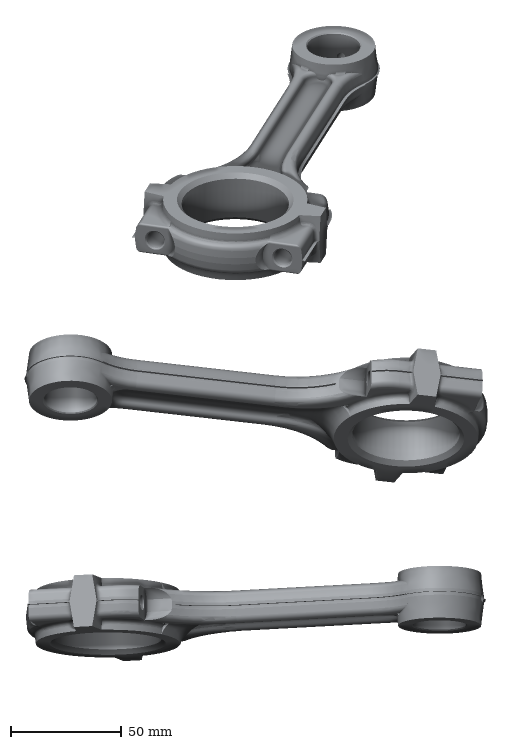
import cadquery as cq
import math


FULL_WIDTH = 83.42
FULL_LENGTH = 213.82
FACE_Z = 23.98 / 2
FORGED_Z = 7.45
BAND_Z = 1.6
DRAFT = 7.0
DRAFT_SLOPE = math.tan(math.radians(DRAFT))
EDGE_RADIUS = 2.9
BIG = 100.0

CAP_RADIUS = 37.1
BIG_BORE_RADIUS = 24.4
BIG_CHAMFER = 2.1
RING_FACE_RADIUS = 32.8
RING_ROOT_RADIUS = RING_FACE_RADIUS + (FACE_Z - FORGED_Z) * DRAFT_SLOPE
RING_ROOT_FILLET = 2.0
CAP_ROOT_FILLET = 0.9
CAP_ROOT_HALF_WIDTH = 23.6
APRON_HALF_WIDTH = 14.5
APRON_OUTER_RADIUS = 44.6

SMALL_RADIUS = 20.15
SMALL_Y = FULL_LENGTH - CAP_RADIUS - SMALL_RADIUS
SMALL_FLANK_RADIUS = SMALL_RADIUS - (FORGED_Z - BAND_Z) * DRAFT_SLOPE
SMALL_BORE_RADIUS = 12.1
SMALL_CHAMFER = 0.5
SMALL_ROOT_FILLET = 1.2
SMALL_ROOT_X = (6.5, 10.5)
OIL_HOLE_RADIUS = 2.0

SHANK_HALF_WIDTH = 12.5
NECK_RADIUS = 35.0
FLARE_RADIUS = 43.4
FLARE_START_Y = 63.9
FLARE_END_X = 34.0
SHANK_END_Y = 18.0

WEB_Z = 3.45
POCKET_HALF_WIDTH = 6.9
POCKET_TOP_Y = SMALL_Y - 25.6
POCKET_FLARE_Y = 58.7
POCKET_FLARE_RADIUS = 49.0
POCKET_END_Y = 30.0
POCKET_DRAFT = 12.0
POCKET_FLOOR_FILLET = 2.2
POCKET_RIM_FILLET = 2.0

BOLT_X = 30.2
BOSS_OUTER_X = 39.6
BOSS_INNER_X = 18.0
BOSS_TOP_Y = 24.6
BOSS_BOTTOM_Y = -26.4
BOSS_OVERRUN = 4.3
BOSS_ROUND_Y = 12.4
BOSS_ROUND_RADIUS = 25.0
BOSS_END_FILLET = 0.9
BOLT_HOLE_RADIUS = 3.5
BOLT_CAP_HOLE_RADIUS = 4.2
BOLT_ENTRY_CHAMFER = 0.6
HEAD_CLEARANCE_RADIUS = 9.3
HEAD_CLEARANCE_FLARE = 2.0
HEAD_CLEARANCE_DEPTH = 6.0
SHANK_CLEARANCE_RADIUS = 8.45
SHANK_CLEARANCE_X = 22.25

ARM_INNER_X = 28.0
ARM_MID_HALF = 6.4
ARM_TIP_HALF = 4.3
ARM_ROOT_HALF = 6.7
ARM_FILLET = 1.5

FIN_WIDTH = 1.4
EYE_FIN_WIDTH = 0.8
FIN_THICKNESS = 0.25
FIN_END_Y = 38.0


def mirror_z(half):
    return half.union(half.mirror("XY"))


def mirror_x(half):
    return half.union(half.mirror("YZ"))


def box(x0, x1, y0, y1, z0=-BIG, z1=BIG):
    return cq.Workplane("XY").box(x1 - x0, y1 - y0, z1 - z0, centered=False).translate((x0, y0, z0))


def arc_point(cx, cy, radius, degrees):
    angle = math.radians(degrees)
    return (cx + radius * math.cos(angle), cy + radius * math.sin(angle))


def shank_outline(grow=0.0):
    """Closed shank outline; grow moves its sides outward."""
    side = SHANK_HALF_WIDTH + grow
    neck = NECK_RADIUS - grow
    flare = FLARE_RADIUS - grow
    neck_x = SHANK_HALF_WIDTH + NECK_RADIUS
    reach = SMALL_RADIUS + NECK_RADIUS
    neck_angle = math.degrees(math.acos(neck_x / reach))
    neck_y = SMALL_Y - math.sqrt(reach**2 - neck_x**2)
    flare_x = SHANK_HALF_WIDTH + FLARE_RADIUS
    flare_angle = math.degrees(math.acos((flare_x - FLARE_END_X) / FLARE_RADIUS))

    neck_end = arc_point(neck_x, neck_y, neck, 180 - neck_angle)
    neck_mid = arc_point(neck_x, neck_y, neck, 180 - neck_angle / 2)
    flare_mid = arc_point(flare_x, FLARE_START_Y, flare, 180 + flare_angle / 2)
    flare_end = arc_point(flare_x, FLARE_START_Y, flare, 180 + flare_angle)

    def flip(point):
        return (-point[0], point[1])

    return (
        cq.Workplane("XY")
        .moveTo(*neck_end)
        .threePointArc(neck_mid, (side, neck_y))
        .lineTo(side, FLARE_START_Y)
        .threePointArc(flare_mid, flare_end)
        .lineTo(flare_end[0], SHANK_END_Y)
        .lineTo(-flare_end[0], SHANK_END_Y)
        .lineTo(*flip(flare_end))
        .threePointArc(flip(flare_mid), (-side, FLARE_START_Y))
        .lineTo(-side, neck_y)
        .threePointArc(flip(neck_mid), flip(neck_end))
        .close()
    )


def pocket_tool():
    """Shank pocket of the +Z side, drafted inward down to the web."""
    depth = FORGED_Z - WEB_Z
    w = POCKET_HALF_WIDTH
    drop = POCKET_FLARE_Y - POCKET_END_Y

    def flare_x(fall):
        return w + POCKET_FLARE_RADIUS - math.sqrt(POCKET_FLARE_RADIUS**2 - fall**2)

    end_x = flare_x(drop)
    mid = (flare_x(drop / 2), POCKET_FLARE_Y - drop / 2)
    return (
        cq.Workplane("XY", origin=(0, 0, FORGED_Z))
        .moveTo(w, POCKET_TOP_Y)
        .lineTo(w, POCKET_FLARE_Y)
        .threePointArc(mid, (end_x, POCKET_END_Y))
        .lineTo(-end_x, POCKET_END_Y)
        .threePointArc((-mid[0], mid[1]), (-w, POCKET_FLARE_Y))
        .lineTo(-w, POCKET_TOP_Y)
        .threePointArc((0, POCKET_TOP_Y + w), (w, POCKET_TOP_Y))
        .close()
        .extrude(-depth, taper=POCKET_DRAFT)
        .faces("<Z").edges().fillet(POCKET_FLOOR_FILLET)
    )


def forged_half(outline, height):
    """Upper half of a forging: an undrafted band, then drafted sides."""
    sides = outline.extrude(height - BAND_Z, taper=DRAFT).translate((0, 0, BAND_Z))
    band = sides.faces("<Z").wires().toPending().extrude(-BAND_Z, combine=False)
    return band, sides


def shank():
    band, sides = forged_half(shank_outline(), FORGED_Z)
    half = band.union(sides.faces(">Z").edges("not |X").fillet(EDGE_RADIUS))
    half = half.cut(pocket_tool())
    rim = half.faces(">Z").val().innerWires()[0]
    half = half.newObject(rim.Edges()).fillet(POCKET_RIM_FILLET)
    clearance = along_bolt(SHANK_CLEARANCE_RADIUS, BOSS_TOP_Y, SMALL_Y)
    clearance = clearance.intersect(box(SHANK_CLEARANCE_X, BIG, 0, 2 * BIG))
    return mirror_z(half).cut(mirror_x(clearance))


def small_end():
    band, sides = forged_half(cq.Workplane("XY").circle(SMALL_RADIUS), FACE_Z)
    eye = mirror_z(band.union(sides))
    fillet = root_fillet(SMALL_FLANK_RADIUS, SMALL_ROOT_FILLET)
    fillet = fillet.intersect(box(*SMALL_ROOT_X, -BIG, 0))
    return eye.union(mirror_x(fillet)).translate((0, SMALL_Y, 0))


def root_fillet(wall_radius, radius):
    """Fillet between a drafted round wall and the forged faces at its foot."""
    corner = 90 + DRAFT
    reach = radius / math.tan(math.radians(corner / 2))
    foot_x = wall_radius + reach
    middle = arc_point(foot_x, FORGED_Z + radius, radius, 270 - (180 - corner) / 2)
    wall_end = arc_point(wall_radius, FORGED_Z, reach, corner)
    upper = (
        cq.Workplane("XZ")
        .moveTo(0, FORGED_Z)
        .lineTo(foot_x, FORGED_Z)
        .threePointArc(middle, wall_end)
        .lineTo(0, wall_end[1])
        .close()
        .revolve(360, (0, 0, 0), (0, 1, 0))
    )
    return upper.union(upper.mirror("XY"))


def revolve_half(profile):
    return mirror_z(profile.close().revolve(360, (0, 0, 0), (0, 1, 0)))


def big_end_ring():
    profile = (
        cq.Workplane("XZ")
        .lineTo(RING_ROOT_RADIUS, 0)
        .lineTo(RING_ROOT_RADIUS, FORGED_Z)
        .lineTo(RING_FACE_RADIUS, FACE_Z)
        .lineTo(0, FACE_Z)
    )
    between_bosses = box(-CAP_ROOT_HALF_WIDTH, CAP_ROOT_HALF_WIDTH, -BIG, 0)
    wide_fillet = root_fillet(RING_ROOT_RADIUS, RING_ROOT_FILLET).cut(between_bosses)
    cap_fillet = root_fillet(RING_ROOT_RADIUS, CAP_ROOT_FILLET)
    return revolve_half(profile).union(wide_fillet).union(cap_fillet)


def apron():
    """Hollow slope, tangent to the pocket floor, that rises to the ring face."""
    run = APRON_OUTER_RADIUS - RING_FACE_RADIUS
    rise = FACE_Z - WEB_Z
    radius = (run**2 + rise**2) / (2 * rise)
    half_angle = math.degrees(math.atan2(rise, run))
    middle = arc_point(APRON_OUTER_RADIUS, WEB_Z + radius, radius, 270 - half_angle)
    profile = (
        cq.Workplane("XZ")
        .lineTo(APRON_OUTER_RADIUS, 0)
        .lineTo(APRON_OUTER_RADIUS, WEB_Z)
        .threePointArc(middle, (RING_FACE_RADIUS, FACE_Z))
        .lineTo(0, FACE_Z)
    )
    return revolve_half(profile).intersect(box(-APRON_HALF_WIDTH, APRON_HALF_WIDTH, 0, BIG))


def cap():
    band, sides = forged_half(cq.Workplane("XY").circle(CAP_RADIUS), FORGED_Z)
    half = band.union(sides.faces(">Z").edges().fillet(EDGE_RADIUS))
    return mirror_z(half).intersect(box(-BIG, BIG, -BIG, 0))


def boss_outline(grow=0.0):
    """Bolt boss outline on the +X side; grow moves its outer side outward."""
    outer = BOSS_OUTER_X + grow
    radius = BOSS_ROUND_RADIUS + grow
    top_y = BOSS_TOP_Y + BOSS_OVERRUN
    bottom_y = BOSS_BOTTOM_Y - BOSS_OVERRUN
    middle_y = (BOSS_ROUND_Y + top_y) / 2

    def side_x(y):
        return outer - radius + math.sqrt(radius**2 - (y - BOSS_ROUND_Y) ** 2)

    return (
        cq.Workplane("XY")
        .moveTo(BOSS_INNER_X, bottom_y)
        .lineTo(outer, bottom_y)
        .lineTo(outer, BOSS_ROUND_Y)
        .threePointArc((side_x(middle_y), middle_y), (side_x(top_y), top_y))
        .lineTo(BOSS_INNER_X, top_y)
        .close()
    )


def boss():
    band, sides = forged_half(boss_outline(), FORGED_Z)
    outer_edges = cq.selectors.BoxSelector((BOLT_X, -BIG, FORGED_Z - BAND_Z), (BIG, BIG, BIG))
    half = band.union(sides.faces(">Z").edges("not |X").edges(outer_edges).fillet(EDGE_RADIUS))
    envelope = box(BOSS_INNER_X, BIG, BOSS_BOTTOM_Y, BOSS_TOP_Y, -FORGED_Z, FORGED_Z)
    envelope = envelope.faces("<Y").edges("|X").fillet(BOSS_END_FILLET)
    return mirror_z(half).intersect(envelope)


def arm():
    """Arm at the joint, narrowing toward its tip and toward both faces."""
    tip_x = FULL_WIDTH / 2
    mid_root_half = ARM_ROOT_HALF + FACE_Z * DRAFT_SLOPE
    half = (
        cq.Workplane("XY")
        .polyline([
            (ARM_INNER_X, -mid_root_half),
            (tip_x, -ARM_MID_HALF),
            (tip_x, ARM_MID_HALF),
            (ARM_INNER_X, mid_root_half),
        ])
        .close()
        .workplane(offset=FACE_Z)
        .polyline([
            (ARM_INNER_X, -ARM_ROOT_HALF),
            (tip_x, -ARM_TIP_HALF),
            (tip_x, ARM_TIP_HALF),
            (ARM_INNER_X, ARM_ROOT_HALF),
        ])
        .close()
        .loft(ruled=True)
    )
    return mirror_z(half)


def boss_with_arm():
    joined = boss().union(arm())

    def corner(low_y, high_y):
        low = (BOLT_X, low_y, -FORGED_Z - ARM_FILLET)
        return cq.selectors.BoxSelector(low, (BOSS_OUTER_X + ARM_FILLET / 2, high_y, FORGED_Z + ARM_FILLET))

    near, far = ARM_TIP_HALF, ARM_ROOT_HALF + ARM_FILLET
    return joined.edges(corner(near, far) + corner(-far, -near)).fillet(ARM_FILLET)


def fin():
    """Thin flash left along the parting line of the forging."""
    low = -FIN_THICKNESS / 2
    along_shank = shank_outline(FIN_WIDTH).extrude(FIN_THICKNESS).intersect(box(-BIG, BIG, FIN_END_Y, 2 * BIG))
    around_eye = cq.Workplane("XY").center(0, SMALL_Y).circle(SMALL_RADIUS + EYE_FIN_WIDTH).extrude(FIN_THICKNESS)
    around_eye = around_eye.intersect(box(-BIG, BIG, 0, SMALL_Y + SMALL_RADIUS))
    along_boss = boss_outline(FIN_WIDTH).extrude(FIN_THICKNESS)
    along_boss = along_boss.intersect(box(0, BIG, BOSS_BOTTOM_Y, BOSS_TOP_Y))
    return along_shank.union(around_eye).union(mirror_x(along_boss)).translate((0, 0, low))


def bore(radius, chamfer, y):
    profile = (
        cq.Workplane("XZ")
        .lineTo(radius, 0)
        .lineTo(radius, FACE_Z - chamfer)
        .lineTo(radius + chamfer, FACE_Z)
        .lineTo(0, FACE_Z)
    )
    return revolve_half(profile).translate((0, y, 0))


def along_bolt(radius, y0, y1, end_radius=None):
    """Round tool on the +X bolt axis between two heights, tapered if end_radius is given."""
    end = radius if end_radius is None else end_radius
    return (
        cq.Workplane("XY", origin=(BOLT_X, 0, 0))
        .moveTo(0, y0)
        .lineTo(radius, y0)
        .lineTo(end, y1)
        .lineTo(0, y1)
        .close()
        .revolve(360, (0, 0, 0), (0, 1, 0))
    )


def bolt_cuts():
    rod_hole = along_bolt(BOLT_HOLE_RADIUS, 0, BIG)
    cap_hole = along_bolt(BOLT_CAP_HOLE_RADIUS, -BIG, 0)
    entry = along_bolt(
        BOLT_CAP_HOLE_RADIUS + BOLT_ENTRY_CHAMFER,
        BOSS_BOTTOM_Y,
        BOSS_BOTTOM_Y + BOLT_ENTRY_CHAMFER,
        BOLT_CAP_HOLE_RADIUS,
    )
    clearance = along_bolt(
        HEAD_CLEARANCE_RADIUS,
        BOSS_BOTTOM_Y,
        BOSS_BOTTOM_Y - HEAD_CLEARANCE_DEPTH,
        HEAD_CLEARANCE_RADIUS + HEAD_CLEARANCE_FLARE,
    )
    return rod_hole.union(cap_hole).union(entry).union(clearance)


def oil_hole():
    return cq.Workplane("XZ", origin=(0, SMALL_Y, 0)).circle(OIL_HOLE_RADIUS).extrude(-BIG)


body = shank().union(small_end()).union(cap()).union(mirror_x(boss_with_arm()))
body = body.union(big_end_ring()).union(apron()).union(fin())
body = body.cut(bore(BIG_BORE_RADIUS, BIG_CHAMFER, 0))
body = body.cut(bore(SMALL_BORE_RADIUS, SMALL_CHAMFER, SMALL_Y))
body = body.cut(mirror_x(bolt_cuts())).cut(oil_hole())

result = body